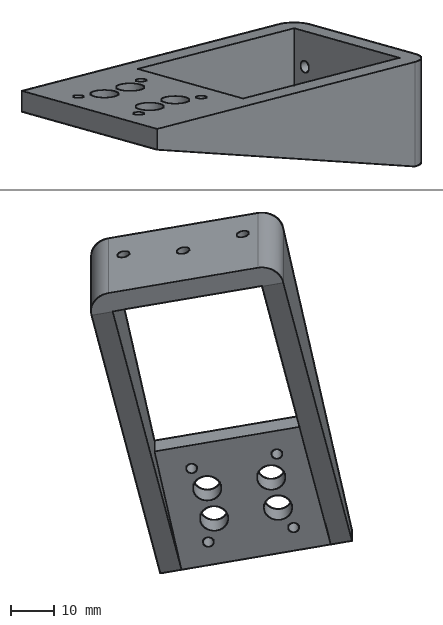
import cadquery as cq

width = 45.0
length = 87.2
height = 25.0
wall = 5.0
corner_radius = 5.0

window_length = 50.0
inner_width = width - 2 * wall
rear_wall_y = length - wall
plate_underside_z = height - wall

pattern_center_y = 16.1
button_diameter = 6.5
button_spacing_x = 15.0
button_spacing_y = 8.2
screw_diameter = 2.5
screw_spacing = 20.0

rear_side_diameter = 2.8
rear_side_spacing = 28.0
rear_side_z = 16.5
rear_center_diameter = 2.95
rear_center_z = 13.6


def wedge_body():
    """Side profile extruded across the width, with rounded rear corners."""
    profile = [
        (0, height),
        (0, plate_underside_z),
        (rear_wall_y, 0),
        (length, 0),
        (length, height),
    ]
    body = cq.Workplane("YZ").polyline(profile).close().extrude(width / 2, both=True)
    return body.edges("|Z and >Y").fillet(corner_radius)


def box_between(y_start, y_end, z_start, z_end):
    """Box of the inner width, centred on X."""
    box = cq.Workplane("XY").box(inner_width, y_end - y_start, z_end - z_start, centered=(True, False, False))
    return box.translate((0, y_start, z_start))


def plate_holes(diameter, spacing_x, spacing_y):
    """Four vertical cutters on a rectangle around the pattern centre."""
    return (
        cq.Workplane("XY")
        .center(0, pattern_center_y)
        .rarray(spacing_x, spacing_y, 2, 2)
        .circle(diameter / 2)
        .extrude(height)
    )


def rear_hole(x, z, diameter):
    """Cutter along Y through the rear wall."""
    return cq.Workplane("XZ", origin=(x, length, z)).circle(diameter / 2).extrude(wall)


result = wedge_body()

result = result.cut(box_between(0, rear_wall_y, 0, plate_underside_z))
result = result.cut(box_between(rear_wall_y - window_length, rear_wall_y, 0, height))

result = result.cut(plate_holes(button_diameter, button_spacing_x, button_spacing_y))
result = result.cut(plate_holes(screw_diameter, screw_spacing, screw_spacing))

for side in (-1, 1):
    result = result.cut(rear_hole(side * rear_side_spacing / 2, rear_side_z, rear_side_diameter))
result = result.cut(rear_hole(0, rear_center_z, rear_center_diameter))